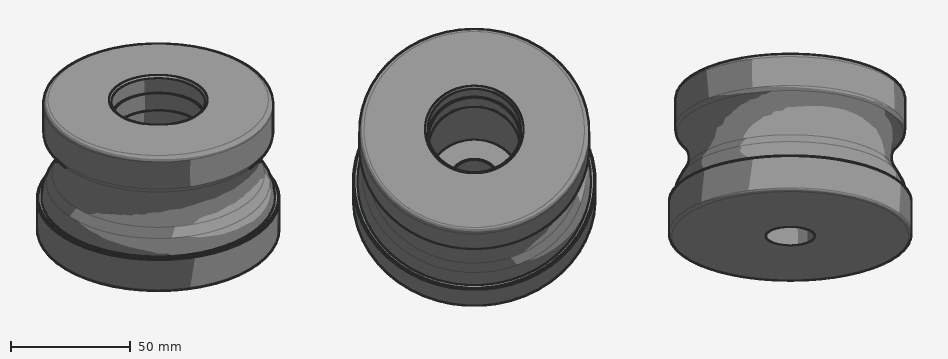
import cadquery as cq
import math

base_radius = 50.8
base_height = 16.2
base_top_chamfer = 0.6
base_bottom_fillet = 1.2
hole_radius = 10.3
hole_chamfer = 0.3

total_height = 63.5
flange_radius = 48.2
flange_top_fillet = 2.0
flange_bottom_fillet = 2.6
waist_radius = 42.5
waist_height = 35.4
waist_arc_radius = 15.2
foot_radius = 48.9
flank_angle = math.radians(30)

flank_top = (
    waist_radius + waist_arc_radius * (1 - math.cos(flank_angle)),
    waist_height - waist_arc_radius * math.sin(flank_angle),
)
flange_angle = math.acos(1 - (flange_radius - waist_radius) / waist_arc_radius)
flange_bottom_height = waist_height + waist_arc_radius * math.sin(flange_angle)

flank_rise = flank_top[1] - base_height
flank_reach = foot_radius - flank_top[0]
foot_arc_radius = (flank_rise * math.tan(flank_angle) - flank_reach) / (1 / math.cos(flank_angle) - 1)

bore_radius = 19.6
bore_chamfer = 1.0
band_radius = 19.1
band_top = 55.5
band_bottom = 47.1


def make_base():
    """Disc with rounded bottom rim, chamfered top rim and countersunk hole."""
    disc = cq.Workplane("XY").circle(base_radius).extrude(base_height)
    disc = disc.faces(">Z").edges().chamfer(base_top_chamfer)
    disc = disc.faces("<Z").edges().fillet(base_bottom_fillet)
    hole = cq.Workplane("XY").circle(hole_radius).extrude(base_height)
    countersink = (
        cq.Workplane("XY")
        .workplane(offset=base_height)
        .circle(hole_radius + hole_chamfer)
        .workplane(offset=-hole_chamfer)
        .circle(hole_radius)
        .loft()
    )
    return disc.cut(hole).cut(countersink)


def waist_point(angle):
    """Point (radius, height) on the waist arc, angle measured up from its throat."""
    return (
        waist_radius + waist_arc_radius * (1 - math.cos(angle)),
        waist_height + waist_arc_radius * math.sin(angle),
    )


def foot_point(angle):
    """Point (radius, height) on the foot arc, angle measured up from the base top."""
    return (
        foot_radius - foot_arc_radius * (1 - math.cos(angle)),
        base_height + foot_arc_radius * math.sin(angle),
    )


def make_knob_blank():
    """Turned solid whose foot arc and waist arc are joined by a straight tangent flank."""
    profile = (
        cq.Workplane("XZ")
        .moveTo(0, base_height)
        .lineTo(foot_radius, base_height)
        .threePointArc(foot_point(flank_angle / 2), foot_point(flank_angle))
        .lineTo(*flank_top)
        .threePointArc((waist_radius, waist_height), waist_point(flange_angle))
        .lineTo(flange_radius, total_height)
        .lineTo(0, total_height)
        .close()
    )
    blank = profile.revolve(360, (0, 0, 0), (0, 1, 0))
    flange_top_rim = blank.faces(">Z").edges()
    blank = flange_top_rim.fillet(flange_top_fillet)
    flange_bottom_rim = blank.edges(cq.selectors.NearestToPointSelector((0, 0, flange_bottom_height)))
    return flange_bottom_rim.fillet(flange_bottom_fillet)


def make_bore():
    """Cutter for the stepped bore, with a flared mouth."""
    profile = (
        cq.Workplane("XZ")
        .moveTo(0, base_height)
        .lineTo(bore_radius, base_height)
        .lineTo(bore_radius, band_bottom)
        .lineTo(band_radius, band_bottom)
        .lineTo(band_radius, band_top)
        .lineTo(bore_radius, band_top)
        .lineTo(bore_radius, total_height - bore_chamfer)
        .lineTo(bore_radius + bore_chamfer, total_height)
        .lineTo(0, total_height)
        .close()
    )
    return profile.revolve(360, (0, 0, 0), (0, 1, 0))


base = make_base()
knob = make_knob_blank().cut(make_bore())

result = cq.Compound.makeCompound([base.val(), knob.val()])